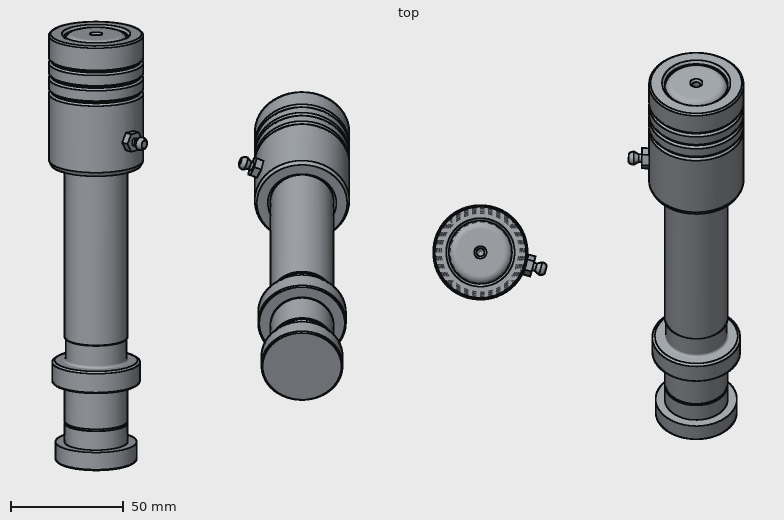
import cadquery as cq
import math

TOTAL_HEIGHT = 196.0
CAP_FLANGE_TOP = 8.5
CAP_TOP = 17.0
COLLAR_BOTTOM = 35.9
COLLAR_TOP = 45.9
NECK_TOP = 56.6
BUSHING_BOTTOM = 136.0

PIN_RADIUS = 28.0 / 2
CAP_FLANGE_RADIUS = 36.0 / 2
CAP_FOOT_CHAMFER = 0.5

PIN_FOOT_CHAMFER_WIDTH = 0.49
PIN_FOOT_CHAMFER_HEIGHT = 1.0
UNDERCUT_HEIGHT = 1.0
UNDERCUT_DEPTH = 0.4
COLLAR_RADIUS = 39.0 / 2
COLLAR_FOOT_CHAMFER = 0.5
COLLAR_TOP_CHAMFER_WIDTH = 1.2
COLLAR_TOP_CHAMFER_HEIGHT = 0.8
NECK_RADIUS = 27.0 / 2
NECK_FILLET = 1.2
PIN_HEAD_FILLET = 3.5
CENTRE_HOLE_RADIUS = 1.8
CENTRE_HOLE_DEPTH = 4.9
CENTRE_MOUTH_RADIUS = 2.7

BUSHING_RADIUS = 42.0 / 2
BUSHING_TOP_CHAMFER = 0.8
BUSHING_LEAD_WIDTH = 1.0
BUSHING_LEAD_HEIGHT = 2.0
BORE_CHAMFER = 1.2
GROOVE_COUNT = 3
GROOVE_PITCH = 7.0
FIRST_GROOVE_HEIGHT = 183.8
GROOVE_MOUTH = 2.4
GROOVE_FLOOR = 0.5
GROOVE_DEPTH = 1.2

NIPPLE_HEIGHT = 151.0
NIPPLE_ANGLE = -15.0
HEX_ACROSS_FLATS = 8.0
HEX_TURN = 30.0
SHANK_START = 16.7
HEX_START = 20.8
HEX_END = 24.1
HEAD_START = 25.5
HEAD_SHOULDER = 27.6
HEAD_END = 30.0
SHANK_RADIUS = 3.0
NIPPLE_NECK_RADIUS = 1.8
SHOULDER_RADIUS = 3.0
TIP_RADIUS = 1.8
HEAD_BULGE = 0.4


def revolved(points):
    """Revolve an outline of (radius, height) points about the vertical axis."""
    return cq.Workplane("XZ").polyline(points).close().revolve(360, (0, 0), (0, 1))


def make_cap():
    """Build the flanged cap that closes the foot of the pin."""
    return revolved([
        (0, 0),
        (CAP_FLANGE_RADIUS - CAP_FOOT_CHAMFER, 0),
        (CAP_FLANGE_RADIUS, CAP_FOOT_CHAMFER),
        (CAP_FLANGE_RADIUS, CAP_FLANGE_TOP),
        (PIN_RADIUS, CAP_FLANGE_TOP),
        (PIN_RADIUS, CAP_TOP),
        (0, CAP_TOP),
    ])


def make_centre_hole():
    """Shape the countersunk hole with a conical end in the head of the pin."""
    mouth_depth = CENTRE_MOUTH_RADIUS - CENTRE_HOLE_RADIUS
    return revolved([
        (0, TOTAL_HEIGHT),
        (CENTRE_MOUTH_RADIUS, TOTAL_HEIGHT),
        (CENTRE_HOLE_RADIUS, TOTAL_HEIGHT - mouth_depth),
        (CENTRE_HOLE_RADIUS, TOTAL_HEIGHT - CENTRE_HOLE_DEPTH),
        (0, TOTAL_HEIGHT - CENTRE_HOLE_DEPTH - CENTRE_HOLE_RADIUS),
    ])


def make_pin():
    """Build the collared pin with a rounded head."""
    undercut_radius = PIN_RADIUS - UNDERCUT_DEPTH
    neck_step = PIN_RADIUS - NECK_RADIUS
    arc_inset = 1 - math.sqrt(0.5)
    fillet_middle = (
        NECK_RADIUS + NECK_FILLET * arc_inset,
        COLLAR_TOP + NECK_FILLET * arc_inset,
    )
    head_middle = (
        PIN_RADIUS - PIN_HEAD_FILLET * arc_inset,
        TOTAL_HEIGHT - PIN_HEAD_FILLET * arc_inset,
    )
    profile = (
        cq.Workplane("XZ")
        .moveTo(0, CAP_TOP)
        .lineTo(PIN_RADIUS - PIN_FOOT_CHAMFER_WIDTH, CAP_TOP)
        .lineTo(PIN_RADIUS, CAP_TOP + PIN_FOOT_CHAMFER_HEIGHT)
        .lineTo(PIN_RADIUS, COLLAR_BOTTOM - UNDERCUT_HEIGHT)
        .lineTo(undercut_radius, COLLAR_BOTTOM - UNDERCUT_HEIGHT + UNDERCUT_DEPTH)
        .lineTo(undercut_radius, COLLAR_BOTTOM)
        .lineTo(COLLAR_RADIUS - COLLAR_FOOT_CHAMFER, COLLAR_BOTTOM)
        .lineTo(COLLAR_RADIUS, COLLAR_BOTTOM + COLLAR_FOOT_CHAMFER)
        .lineTo(COLLAR_RADIUS, COLLAR_TOP - COLLAR_TOP_CHAMFER_HEIGHT)
        .lineTo(COLLAR_RADIUS - COLLAR_TOP_CHAMFER_WIDTH, COLLAR_TOP)
        .lineTo(NECK_RADIUS + NECK_FILLET, COLLAR_TOP)
        .threePointArc(fillet_middle, (NECK_RADIUS, COLLAR_TOP + NECK_FILLET))
        .lineTo(NECK_RADIUS, NECK_TOP - neck_step)
        .lineTo(PIN_RADIUS, NECK_TOP)
        .lineTo(PIN_RADIUS, TOTAL_HEIGHT - PIN_HEAD_FILLET)
        .threePointArc(head_middle, (PIN_RADIUS - PIN_HEAD_FILLET, TOTAL_HEIGHT))
        .lineTo(0, TOTAL_HEIGHT)
        .close()
    )
    return profile.revolve(360, (0, 0), (0, 1)).cut(make_centre_hole())


def make_groove(height):
    """Shape one groove with sloped sides around the bushing."""
    floor_radius = BUSHING_RADIUS - GROOVE_DEPTH
    return revolved([
        (BUSHING_RADIUS, height - GROOVE_MOUTH / 2),
        (BUSHING_RADIUS, height + GROOVE_MOUTH / 2),
        (floor_radius, height + GROOVE_FLOOR / 2),
        (floor_radius, height - GROOVE_FLOOR / 2),
    ])


def make_nipple():
    """Build the nipple along +X, then turn it about the bushing axis."""
    head_middle = (
        (HEAD_SHOULDER + HEAD_END) / 2,
        (SHOULDER_RADIUS + TIP_RADIUS) / 2 + HEAD_BULGE,
    )
    body = (
        cq.Workplane("XY", origin=(0, 0, NIPPLE_HEIGHT))
        .moveTo(SHANK_START, 0)
        .lineTo(SHANK_START, SHANK_RADIUS)
        .lineTo(HEX_END, SHANK_RADIUS)
        .lineTo(HEX_END, NIPPLE_NECK_RADIUS)
        .lineTo(HEAD_START, NIPPLE_NECK_RADIUS)
        .lineTo(HEAD_SHOULDER, SHOULDER_RADIUS)
        .threePointArc(head_middle, (HEAD_END, TIP_RADIUS))
        .lineTo(HEAD_END, 0)
        .close()
        .revolve(360, (0, 0), (1, 0))
    )
    hexagon = (
        cq.Workplane("YZ", origin=(HEX_START, 0, NIPPLE_HEIGHT))
        .polygon(6, HEX_ACROSS_FLATS, circumscribed=True)
        .extrude(HEX_END - HEX_START)
        .rotate((0, 0, NIPPLE_HEIGHT), (1, 0, NIPPLE_HEIGHT), HEX_TURN)
    )
    return body.union(hexagon).rotate((0, 0, 0), (0, 0, 1), NIPPLE_ANGLE)


def make_bushing(nipple):
    """Build the grooved sleeve with a seat that matches the nipple."""
    bushing = revolved([
        (PIN_RADIUS + BORE_CHAMFER, BUSHING_BOTTOM),
        (BUSHING_RADIUS - BUSHING_LEAD_WIDTH, BUSHING_BOTTOM),
        (BUSHING_RADIUS, BUSHING_BOTTOM + BUSHING_LEAD_HEIGHT),
        (BUSHING_RADIUS, TOTAL_HEIGHT - BUSHING_TOP_CHAMFER),
        (BUSHING_RADIUS - BUSHING_TOP_CHAMFER, TOTAL_HEIGHT),
        (PIN_RADIUS + BORE_CHAMFER, TOTAL_HEIGHT),
        (PIN_RADIUS, TOTAL_HEIGHT - BORE_CHAMFER),
        (PIN_RADIUS, BUSHING_BOTTOM + BORE_CHAMFER),
    ])
    for index in range(GROOVE_COUNT):
        bushing = bushing.cut(make_groove(FIRST_GROOVE_HEIGHT - index * GROOVE_PITCH))
    return bushing.cut(nipple)


cap = make_cap()
pin = make_pin()
nipple = make_nipple()
bushing = make_bushing(nipple)

result = cq.Compound.makeCompound([cap.val(), pin.val(), bushing.val(), nipple.val()])